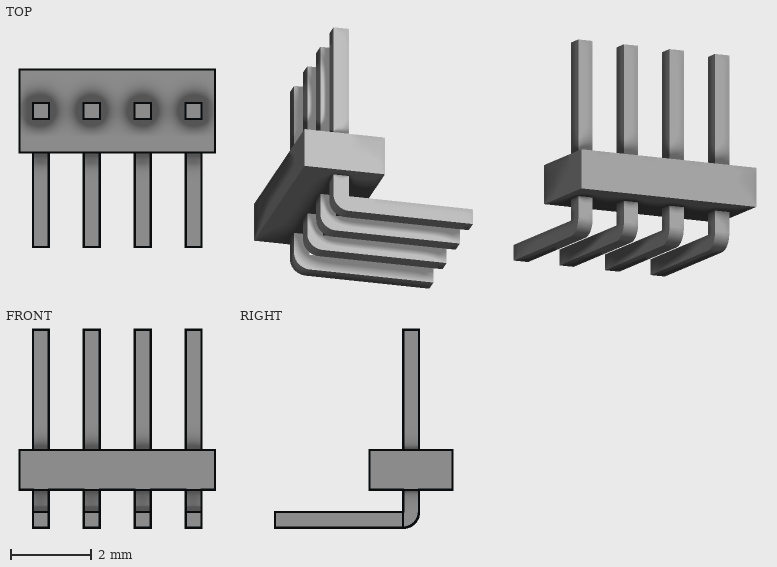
import cadquery as cq
import math

PIN_COUNT = 4
PIN_PITCH = 1.27
PIN_WIDTH = 0.4

HOUSING_LENGTH = 4.88
HOUSING_DEPTH = 2.08
HOUSING_HEIGHT = 1.0

POST_ABOVE_HOUSING = 3.0
POST_BELOW_HOUSING = 0.95
HEEL_RADIUS = PIN_WIDTH

OVERALL_DEPTH = 4.44

POST_TOP = HOUSING_HEIGHT + POST_ABOVE_HOUSING
POST_BOTTOM = -POST_BELOW_HOUSING
POST_FRONT = -PIN_WIDTH / 2
POST_BACK = PIN_WIDTH / 2
TAIL_LENGTH = OVERALL_DEPTH - HOUSING_DEPTH / 2 - POST_BACK

FIRST_PIN_X = -(PIN_COUNT - 1) * PIN_PITCH / 2
PIN_POSITIONS = [FIRST_PIN_X + index * PIN_PITCH for index in range(PIN_COUNT)]


def make_housing():
    """Rectangular block with one square through hole per post."""
    block = cq.Workplane("XY").box(
        HOUSING_LENGTH, HOUSING_DEPTH, HOUSING_HEIGHT, centered=(True, True, False)
    )
    holes = (
        cq.Workplane("XY")
        .pushPoints([(x, 0) for x in PIN_POSITIONS])
        .rect(PIN_WIDTH, PIN_WIDTH)
        .extrude(HOUSING_HEIGHT)
    )
    return block.cut(holes)


def make_post(x):
    """Upright square post whose foot is a quarter round, full at the front face."""
    heel_top = POST_BOTTOM + HEEL_RADIUS
    heel_diagonal = HEEL_RADIUS * math.sqrt(0.5)
    heel_middle = (POST_FRONT + heel_diagonal, heel_top - heel_diagonal)
    return (
        cq.Workplane("YZ", origin=(x - PIN_WIDTH / 2, 0, 0))
        .moveTo(POST_FRONT, POST_BOTTOM)
        .lineTo(POST_FRONT, POST_TOP)
        .lineTo(POST_BACK, POST_TOP)
        .lineTo(POST_BACK, heel_top)
        .threePointArc(heel_middle, (POST_FRONT, POST_BOTTOM))
        .close()
        .extrude(PIN_WIDTH)
    )


def make_tail(x):
    """Horizontal square bar that butts against the front face of a post's foot."""
    return cq.Workplane("XY", origin=(x, POST_FRONT - TAIL_LENGTH / 2, POST_BOTTOM)).box(
        PIN_WIDTH, TAIL_LENGTH, PIN_WIDTH, centered=(True, True, False)
    )


housing = make_housing()
posts = [make_post(x).val() for x in PIN_POSITIONS]
tails = [make_tail(x).val() for x in PIN_POSITIONS]

result = cq.Compound.makeCompound([housing.val(), *posts, *tails])